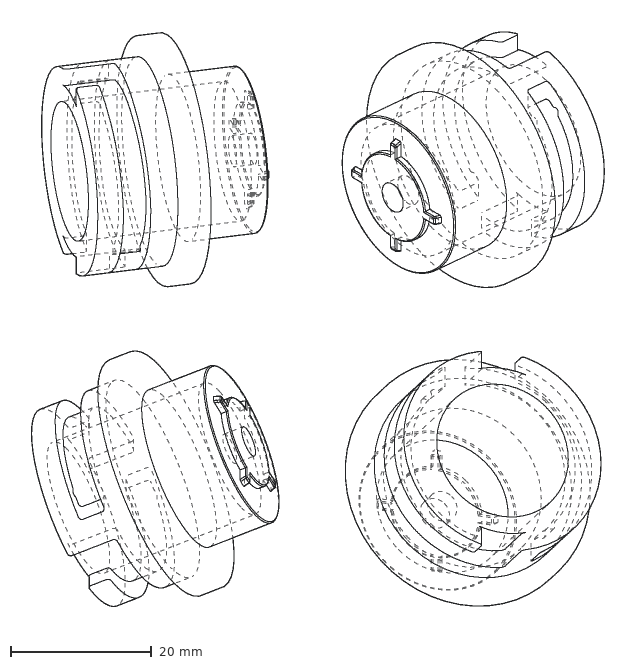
import cadquery as cq
import math


length = 27.0
flange_radius = 18.0
body_radius = 15.0
hub_radius = 12.0
flange_front = 11.8
flange_back = 16.0
hub_end = 26.0
flange_round = 0.5
hub_chamfer = 0.18

bore_radius = 10.0
bore_depth = 24.0
hole_radius = 2.25

boss_radius = 6.75
arm_count = 4
arm_tip = 8.8
arm_root = 9.18
arm_width = 1.35
arm_chamfer = 0.2
boss_edge_chamfer = 0.18

track_count = 2
floor_radius = 12.5
entry_width = 6.05
track_width = 4.05
entry_back = 7.45
track_rise = 0.35
entry_front = entry_back - track_width
end_back = entry_back + track_rise
end_front = end_back - track_width
climb_start = 32.0
climb_end = 90.0
end_wall_x = 7.15
edge_round = 0.5

rib_angle = 135.0
rib_radius = 0.5
rib_fillet = 0.5
rib_centre = 12.6

overshoot = 1.8
outer_radius = body_radius + overshoot
mouth_width = entry_width + 2 * edge_round


def cylinder(radius, start, end):
    """Solid cylinder on the Y axis from y = start to y = end."""
    return cq.Workplane("XZ", origin=(0, start, 0)).circle(radius).extrude(start - end)


def turn(shape, degrees):
    """Turn a shape about the part axis, from +Z towards +X."""
    return shape.rotate((0, 0, 0), (0, 1, 0), degrees)


def make_body():
    flange = cylinder(flange_radius, flange_front, flange_back).edges().fillet(flange_round)
    hub = cylinder(hub_radius, flange_front, hub_end).faces(">Y").edges().chamfer(hub_chamfer)
    return cylinder(body_radius, 0, flange_back - flange_round).union(flange).union(hub)


def make_arm():
    """Arm pointing along +X with a sloped outer end and chamfered corners."""
    arm = (
        cq.Workplane("XY")
        .moveTo(0, hub_end)
        .lineTo(arm_root, hub_end)
        .lineTo(arm_tip, length)
        .lineTo(0, length)
        .close()
        .extrude(arm_width / 2, both=True)
    )
    return arm.faces(">X").edges(">Z or <Z").chamfer(arm_chamfer)


def make_boss():
    boss = cylinder(boss_radius, hub_end, length)
    for i in range(arm_count):
        boss = boss.union(turn(make_arm(), i * 360 / arm_count))
    return boss.faces(">Y").edges().chamfer(boss_edge_chamfer)


def make_entry_cutter():
    """Slot open at the mouth that turns towards +X, with all its corners rounded."""
    half = entry_width / 2
    r = edge_round
    reach = mouth_width / 2
    return (
        cq.Workplane("XY")
        .moveTo(-mouth_width / 2, 0)
        .radiusArc((-half, r), -r)
        .lineTo(-half, entry_back - r)
        .radiusArc((-half + r, entry_back), r)
        .lineTo(reach, entry_back)
        .lineTo(reach, entry_front)
        .radiusArc((half, entry_front - r), -r)
        .lineTo(half, r)
        .radiusArc((mouth_width / 2, 0), -r)
        .close()
        .extrude(outer_radius)
    )


def track_section():
    """Radial cross-section of the track at its start, in the YZ plane."""
    depth = outer_radius - bore_radius
    middle_y = (entry_front + entry_back) / 2
    middle_z = (bore_radius + outer_radius) / 2
    return cq.Workplane("YZ").moveTo(middle_y, middle_z).rect(track_width, depth)


def make_start_cutter():
    """Level stretch from the middle of the entry slot to the foot of the climb."""
    return track_section().revolve(climb_start, (0, 0), (1, 0))


def make_climb_cutter():
    """Climbing stretch, swept along a helix that rises by the track rise."""
    sweep_angle = climb_end - climb_start
    pitch = track_rise * 360 / sweep_angle
    helix = cq.Wire.makeHelix(pitch, track_rise, floor_radius, cq.Vector(0, 0, 0), cq.Vector(0, 1, 0))
    climb = track_section().sweep(cq.Workplane(helix), isFrenet=True)
    return turn(climb, climb_start)


def make_level_cutter():
    """Level stretch round to the plane end wall in the -Z half."""
    ring = cylinder(outer_radius, end_front, end_back)
    length_x = outer_radius - end_wall_x
    stretch = (
        cq.Workplane("XY")
        .center(end_wall_x + length_x / 2, (end_front + end_back) / 2)
        .rect(length_x, track_width)
        .extrude(-outer_radius)
        .edges("|Z and <X")
        .fillet(edge_round)
    )
    return stretch.intersect(ring)


def make_rib():
    """Rounded detent rib that blends into the track floor through concave fillets."""
    blend_centre_z = floor_radius + rib_fillet
    blend_centre_x = math.sqrt((rib_radius + rib_fillet) ** 2 - (rib_centre - blend_centre_z) ** 2)
    blend_share = rib_radius / (rib_radius + rib_fillet)
    top_x = blend_centre_x * blend_share
    top_z = rib_centre + (blend_centre_z - rib_centre) * blend_share
    foot_angle = math.atan2(blend_centre_x, blend_centre_z)
    foot_x = floor_radius * math.sin(foot_angle)
    foot_z = floor_radius * math.cos(foot_angle)
    rib = (
        cq.Workplane("XZ")
        .moveTo(-foot_x, foot_z)
        .radiusArc((-top_x, top_z), -rib_fillet)
        .threePointArc((0, rib_centre + rib_radius), (top_x, top_z))
        .radiusArc((foot_x, foot_z), -rib_fillet)
        .lineTo(foot_x, bore_radius)
        .lineTo(-foot_x, bore_radius)
        .close()
        .extrude(-flange_front)
    )
    return turn(rib, rib_angle)


def make_track_cutter():
    track = make_entry_cutter().union(make_start_cutter())
    track = track.union(make_climb_cutter()).union(make_level_cutter())
    core = cylinder(floor_radius, -overshoot, flange_front).union(make_rib())
    return track.cut(core)


part = make_body().union(make_boss())
part = part.cut(cylinder(bore_radius, 0, bore_depth)).cut(cylinder(hole_radius, 0, length))
track_cutter = make_track_cutter()
for i in range(track_count):
    part = part.cut(turn(track_cutter, i * 360 / track_count))
result = part.solids()